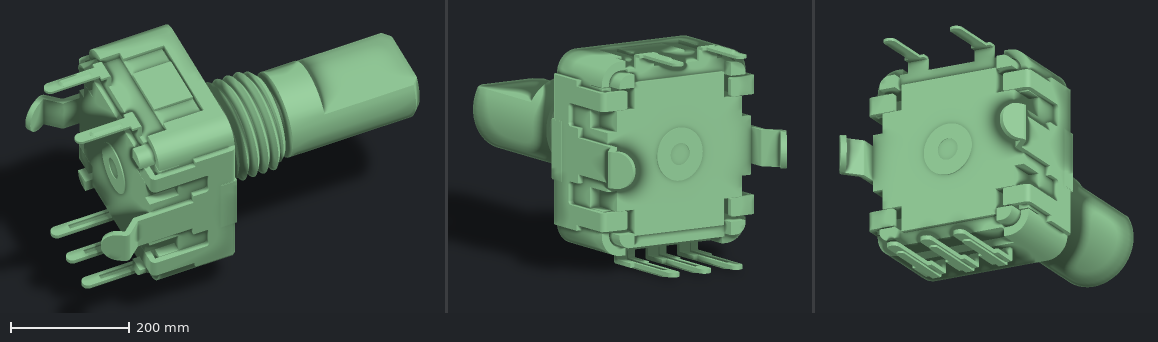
import cadquery as cq
import math


FULL_ROUND = 0.98

SHAFT_RADIUS = 76.2
SHAFT_START = 139.7
SHAFT_END = 381.0
SHAFT_CHAMFER = 12.7
FLAT_START = 203.2
FLAT_HEIGHT = 38.1
NECK_RADIUS = 45.72

BUSHING_LENGTH = 127.0
BUSHING_CHAMFER = 15.0
THREAD_RADIUS = 88.9
THREAD_ROOT_RADIUS = 76.2
THREAD_PITCH = 19.05
THREAD_PHASE = 12.2
THREAD_BASE_WIDTH = FULL_ROUND * THREAD_PITCH
THREAD_OVERLAP = 1.0

BODY_HALF_WIDTH = 144.78
BODY_HALF_HEIGHT = 167.64
BODY_DEPTH = 139.7
BODY_CORNER_RADIUS = 38.1

CARRIER_HALF_WIDTH = 97.3
CARRIER_HALF_HEIGHT = 154.2
CARRIER_START = 104.0
CARRIER_DEPTH = 148.0
COVER_DEPTH = 157.48
COVER_HALF_WIDTH = 89.9
COVER_HALF_HEIGHT = 132.1
POCKET_FLOOR = 103.4
POCKET_TOP = 126.0
POCKET_MIDDLE = 86.6
POCKET_BOTTOM = 50.8
EDGE_SLIT_BOTTOM = 124.0
SIDE_POCKET_X = 126.0
DISC_RADIUS = 45.72
DISC_DEPTH = 160.0
DIMPLE_RADIUS = 19.05
DIMPLE_DEPTH = 1.5

WINDOW_HALF_WIDTH = 81.7
WINDOW_START = 28.6
WINDOW_SLIT = 3.8
WINDOW_SIDE_DROP = 7.0
WINDOW_CENTRE_DROP = 1.5
WINDOW_CENTRE_HALF_WIDTH = 45.0

PEG_INNER_X = 97.3
PEG_OUTER_X = 127.0
PEG_INNER_Z = 126.0
PEG_OUTER_Z = 148.8
PEG_RADIUS = 19.0
PEG_CLEARANCE = 3.0
PEG_CLEARANCE_DEPTH = 10.0
PEG_END = 167.64

SHEET = 10.16
BRACKET_HALF_HEIGHT = BODY_HALF_HEIGHT - BODY_CORNER_RADIUS
BRACKET_SHOULDER = 76.8
FINGER_TOP = 119.4
FINGER_BOTTOM = 87.6
FINGER_REACH_X = 104.7
FINGER_TIP_RADIUS = 3.0
SLOT_START = 51.5
SLOT_BOTTOM = 47.6
SLOT_STEP = 80.7
SLOT_RADIUS = 6.0
PAD_HALF_HEIGHT = 52.5
PAD_DEPTH = 30.8
PAD_RIM = 1.6
PAD_STEP = 0.6

LEG_HALF_HEIGHT = 31.4
LEG_KNEE_DEPTH = 186.0
LEG_ELBOW_X = 173.91
LEG_ELBOW_DEPTH = 213.0
LEG_TIP_X = 151.0
LEG_TIP_DEPTH = 250.5
LEG_ELBOW_RADIUS = 10.16
LEG_KNEE_RADIUS = 5.0

PIN_SPACING = 63.5
PIN_WIDTH = 21.6
SHOULDER_WIDTH = 37.1
UPPER_SHEET = 5.0
UPPER_PIN_TOP = 178.8
UPPER_PIN_END = 259.08
UPPER_SHOULDER_END = 161.0
UPPER_RIB_START = 171.7
UPPER_RIB_END = 232.4
UPPER_RIB_WIDTH = 14.7
UPPER_RIB_HEIGHT = 4.06
LOWER_SHEET = 7.6
LOWER_TAB_DEPTH = 80.8
LOWER_PIN_BOTTOM = -192.0
LOWER_PIN_END = 246.4
LOWER_SHOULDER_END = 132.6
LOWER_RIB_END = 217.0
LOWER_RIB_WIDTH = 15.2
LOWER_RIB_HEIGHT = 3.6
LOWER_GROOVE_WIDTH = 9.2


def block(x_range, depth_range, z_range):
    """Box between two X values, two depths behind the mounting face and two Z values."""
    size = (x_range[1] - x_range[0], depth_range[1] - depth_range[0], z_range[1] - z_range[0])
    corner = (x_range[0], -depth_range[1], z_range[0])
    return cq.Workplane("XY").box(*size, centered=False).translate(corner)


def centred_block(half_width, depth_range, half_height):
    """Box centred on the shaft axis in X and Z."""
    return block((-half_width, half_width), depth_range, (-half_height, half_height))


def axial_cylinder(radius, y_start, y_end):
    """Cylinder on the shaft axis."""
    return cq.Workplane("XZ", origin=(0, y_start, 0)).circle(radius).extrude(y_start - y_end)


def mirrored_in_x(solid):
    return solid.union(solid.mirror("YZ"))


def mirrored_in_x_and_z(solid):
    right = solid.union(solid.mirror("XY"))
    return mirrored_in_x(right)


def make_shaft():
    shaft = axial_cylinder(SHAFT_RADIUS, SHAFT_START, SHAFT_END)
    shaft = shaft.faces(">Y").chamfer(SHAFT_CHAMFER)
    above_flat = block(
        (-SHAFT_RADIUS, SHAFT_RADIUS), (-SHAFT_END, -FLAT_START), (FLAT_HEIGHT, SHAFT_RADIUS)
    )
    neck = axial_cylinder(NECK_RADIUS, 0, SHAFT_START)
    return shaft.cut(above_flat).union(neck)


def make_bushing():
    """Core with a right-hand V thread, trimmed to a chamfered front end."""
    first_crest = THREAD_PHASE - 2 * THREAD_PITCH
    helix_height = BUSHING_LENGTH - first_crest + THREAD_PITCH
    base_radius = THREAD_ROOT_RADIUS - THREAD_OVERLAP
    helix = cq.Wire.makeHelix(THREAD_PITCH, helix_height, base_radius)
    ridge = (
        cq.Workplane("XZ")
        .moveTo(base_radius, -THREAD_BASE_WIDTH / 2)
        .lineTo(THREAD_RADIUS, 0)
        .lineTo(base_radius, THREAD_BASE_WIDTH / 2)
        .close()
        .sweep(cq.Workplane(obj=helix), isFrenet=True)
        .translate((0, 0, first_crest))
        .rotate((0, 0, 0), (1, 0, 0), -90)
    )
    envelope = axial_cylinder(THREAD_RADIUS + THREAD_OVERLAP, 0, BUSHING_LENGTH)
    envelope = envelope.faces(">Y").chamfer(BUSHING_CHAMFER + THREAD_OVERLAP)
    core = axial_cylinder(THREAD_ROOT_RADIUS, 0, BUSHING_LENGTH)
    return core.intersect(envelope).union(ridge.intersect(envelope))


def make_body():
    body = centred_block(BODY_HALF_WIDTH, (0, BODY_DEPTH), BODY_HALF_HEIGHT)
    body = body.edges("|Y").fillet(BODY_CORNER_RADIUS)
    opening = block(
        (-CARRIER_HALF_WIDTH, CARRIER_HALF_WIDTH),
        (CARRIER_START, BODY_DEPTH),
        (CARRIER_HALF_HEIGHT, BODY_HALF_HEIGHT),
    )
    return cut_window(body.cut(opening).cut(opening.mirror("XY")))


def cut_window(body):
    """Recess with a raised centre panel and a deeper slit along its front, in the +Z side."""
    slit_end = WINDOW_START + WINDOW_SLIT
    side_floor = BODY_HALF_HEIGHT - WINDOW_SIDE_DROP
    centre_floor = BODY_HALF_HEIGHT - WINDOW_CENTRE_DROP
    window_x = (-WINDOW_HALF_WIDTH, WINDOW_HALF_WIDTH)
    centre_x = (-WINDOW_CENTRE_HALF_WIDTH, WINDOW_CENTRE_HALF_WIDTH)
    slit = block(window_x, (WINDOW_START, slit_end), (CARRIER_HALF_HEIGHT, BODY_HALF_HEIGHT))
    recess = block(window_x, (slit_end, CARRIER_START), (side_floor, BODY_HALF_HEIGHT))
    centre_panel = block(centre_x, (slit_end, CARRIER_START), (side_floor, centre_floor))
    return body.cut(slit).cut(recess).union(centre_panel)


def add_insulator(body):
    """Terminal carrier and rear cover with its centre disc, notched at the corners."""
    carrier = centred_block(CARRIER_HALF_WIDTH, (CARRIER_START, CARRIER_DEPTH), CARRIER_HALF_HEIGHT)
    tall_cover = centred_block(COVER_HALF_WIDTH, (CARRIER_START, COVER_DEPTH), COVER_HALF_HEIGHT)
    wide_cover = centred_block(BODY_HALF_WIDTH, (CARRIER_START, COVER_DEPTH), POCKET_MIDDLE)
    corner_pocket = block(
        (COVER_HALF_WIDTH, SIDE_POCKET_X), (POCKET_FLOOR, COVER_DEPTH), (POCKET_MIDDLE, POCKET_TOP)
    )
    edge_slit = block(
        (SIDE_POCKET_X, BODY_HALF_WIDTH), (POCKET_FLOOR, BODY_DEPTH), (EDGE_SLIT_BOTTOM, POCKET_TOP)
    )
    side_pocket = block(
        (SIDE_POCKET_X, BODY_HALF_WIDTH), (POCKET_FLOOR, COVER_DEPTH), (POCKET_BOTTOM, POCKET_MIDDLE)
    )
    finger_seat = block(
        (SIDE_POCKET_X, BODY_HALF_WIDTH),
        (COVER_DEPTH - SHEET, COVER_DEPTH),
        (POCKET_MIDDLE, POCKET_TOP),
    )
    disc = axial_cylinder(DISC_RADIUS, -DISC_DEPTH, -BODY_DEPTH)
    dimple = axial_cylinder(DIMPLE_RADIUS, -DISC_DEPTH, -DISC_DEPTH + DIMPLE_DEPTH)
    filled = body.union(carrier).union(tall_cover).union(wide_cover)
    pockets = corner_pocket.union(side_pocket).union(finger_seat).union(edge_slit)
    filled = filled.cut(mirrored_in_x_and_z(pockets))
    return filled.union(disc).cut(dimple)


def add_pegs(body):
    """Corner pegs with a rounded outer corner, each standing in a small clearance recess."""

    def peg_shape(margin, depth_range):
        shape = block(
            (PEG_INNER_X, PEG_OUTER_X + margin), depth_range, (PEG_INNER_Z, PEG_OUTER_Z + margin)
        )
        return shape.edges("|Y and >X and >Z").fillet(PEG_RADIUS + margin)

    recess_floor = BODY_DEPTH - PEG_CLEARANCE_DEPTH
    recess = peg_shape(PEG_CLEARANCE, (recess_floor, BODY_DEPTH))
    peg = peg_shape(0, (recess_floor, PEG_END))
    return body.cut(mirrored_in_x_and_z(recess)).union(mirrored_in_x_and_z(peg))


def make_side_plate():
    """Flat +X side of the bracket, with its bent front edge, two fingers and slots.

    The middle is cut back to SLOT_STEP, where the spring leg takes over.
    """
    inner_x = BODY_HALF_WIDTH
    outer_x = BODY_HALF_WIDTH + SHEET
    sheet_range = (inner_x, outer_x)
    plate = block(sheet_range, (0, COVER_DEPTH), (-BRACKET_HALF_HEIGHT, BRACKET_HALF_HEIGHT))
    corner = block(sheet_range, (BRACKET_SHOULDER, COVER_DEPTH), (FINGER_TOP, BRACKET_HALF_HEIGHT))
    slot = block(sheet_range, (SLOT_START, COVER_DEPTH), (SLOT_BOTTOM, FINGER_BOTTOM))
    slot = slot.edges("|X and >Y").fillet(SLOT_RADIUS)
    middle = block(sheet_range, (SLOT_STEP, COVER_DEPTH), (0, FINGER_BOTTOM))
    finger = block(
        (FINGER_REACH_X, outer_x), (COVER_DEPTH - SHEET, COVER_DEPTH), (FINGER_BOTTOM, FINGER_TOP)
    )
    finger = finger.edges("|Y and <X").fillet(FINGER_TIP_RADIUS)
    for cutout in (corner, slot, middle):
        plate = plate.cut(cutout).cut(cutout.mirror("XY"))
    plate = plate.union(finger).union(finger.mirror("XY"))
    bend_radius = FULL_ROUND * SHEET
    plate = plate.edges("|Z and >X and >Y").fillet(bend_radius)
    return plate.edges("|Z and >X and <Y").fillet(bend_radius)


def make_pad():
    """Square-cornered pad on the front edge of the +X side plate, with a stepped rim."""
    inner_x = BODY_HALF_WIDTH
    outer_x = BODY_HALF_WIDTH + SHEET
    rim = block((inner_x, outer_x + PAD_STEP / 2), (0, PAD_DEPTH), (-PAD_HALF_HEIGHT, PAD_HALF_HEIGHT))
    face_half_height = PAD_HALF_HEIGHT - PAD_RIM
    face = block(
        (inner_x, outer_x + PAD_STEP),
        (0, PAD_DEPTH - PAD_RIM),
        (-face_half_height, face_half_height),
    )
    return rim.union(face)


def sheet_outline(midline, thickness):
    """Mitred outline of a bent sheet that follows the given midline points."""
    sides = ([], [])
    last = len(midline) - 1
    for index, (x, y) in enumerate(midline):
        before = midline[max(index - 1, 0)]
        after = midline[min(index + 1, last)]
        angles = []
        if index > 0:
            angles.append(math.atan2(y - before[1], x - before[0]))
        if index < last:
            angles.append(math.atan2(after[1] - y, after[0] - x))
        heading = sum(angles) / len(angles)
        half_turn = (angles[-1] - angles[0]) / 2
        reach = thickness / 2 / math.cos(half_turn)
        offset = (-math.sin(heading) * reach, math.cos(heading) * reach)
        sides[0].append((x + offset[0], y + offset[1]))
        sides[1].append((x - offset[0], y - offset[1]))
    return sides[0] + sides[1][::-1]


def make_spring_leg():
    """Leg on the +X side: straight, kinked outwards, then back in to a round tip."""
    middle_x = BODY_HALF_WIDTH + SHEET / 2
    midline = [
        (middle_x, -SLOT_STEP),
        (middle_x, -LEG_KNEE_DEPTH),
        (LEG_ELBOW_X, -LEG_ELBOW_DEPTH),
        (LEG_TIP_X, -LEG_TIP_DEPTH),
    ]
    leg = (
        cq.Workplane("XY", origin=(0, 0, -LEG_HALF_HEIGHT))
        .polyline(sheet_outline(midline, SHEET))
        .close()
        .extrude(2 * LEG_HALF_HEIGHT)
    )
    knee_low = (BODY_HALF_WIDTH - SHEET, -LEG_KNEE_DEPTH - SHEET, -LEG_HALF_HEIGHT)
    knee_high = (BODY_HALF_WIDTH + 2 * SHEET, -LEG_KNEE_DEPTH + SHEET, LEG_HALF_HEIGHT)
    leg = leg.edges(cq.selectors.BoxSelector(knee_low, knee_high)).edges("|Z").fillet(LEG_KNEE_RADIUS)
    leg = leg.edges("|Z and >X").fillet(LEG_ELBOW_RADIUS)
    for side in (-1, 1):
        low = (LEG_TIP_X - SHEET, -LEG_TIP_DEPTH - SHEET, side * LEG_HALF_HEIGHT - SHEET)
        high = (LEG_TIP_X + SHEET, -LEG_TIP_DEPTH + SHEET, side * LEG_HALF_HEIGHT + SHEET)
        tip_edge = cq.selectors.BoxSelector(low, high)
        leg = leg.edges(tip_edge).edges("not |Z").edges("<Y").fillet(FULL_ROUND * LEG_HALF_HEIGHT)
    return leg


def round_ended_pin(x, depth_range, z_range):
    pin = block((x - PIN_WIDTH / 2, x + PIN_WIDTH / 2), depth_range, z_range)
    return pin.edges("|Z and <Y").fillet(FULL_ROUND * PIN_WIDTH / 2)


def make_upper_terminal(x):
    """L-shaped terminal on the +Z side with a tapered rib on its pin."""
    shoulder_x = (x - SHOULDER_WIDTH / 2, x + SHOULDER_WIDTH / 2)
    tab_start = CARRIER_DEPTH - UPPER_SHEET
    pin_z = (UPPER_PIN_TOP - UPPER_SHEET, UPPER_PIN_TOP)
    tab = block(shoulder_x, (tab_start, CARRIER_DEPTH), (POCKET_TOP, UPPER_PIN_TOP))
    shoulder = block(shoulder_x, (tab_start, UPPER_SHOULDER_END), pin_z)
    bend = tab.union(shoulder).edges("|X and >Y and >Z").fillet(FULL_ROUND * UPPER_SHEET)
    rib = (
        cq.Workplane("XY", origin=(x, -(UPPER_RIB_START + UPPER_RIB_END) / 2, UPPER_PIN_TOP))
        .slot2D(UPPER_RIB_END - UPPER_RIB_START, UPPER_RIB_WIDTH, 90)
        .extrude(UPPER_RIB_HEIGHT)
        .faces(">Z")
        .chamfer(FULL_ROUND * UPPER_RIB_HEIGHT)
    )
    return bend.union(round_ended_pin(x, (tab_start + UPPER_SHEET, UPPER_PIN_END), pin_z)).union(rib)


def make_lower_terminal(x):
    """L-shaped terminal on the -Z side with a pressed rib along its tab and pin."""
    shoulder_x = (x - SHOULDER_WIDTH / 2, x + SHOULDER_WIDTH / 2)
    rib_x = (x - LOWER_RIB_WIDTH / 2, x + LOWER_RIB_WIDTH / 2)
    groove_x = (x - LOWER_GROOVE_WIDTH / 2, x + LOWER_GROOVE_WIDTH / 2)
    tab_end = LOWER_TAB_DEPTH + LOWER_SHEET
    pin_top = LOWER_PIN_BOTTOM + LOWER_SHEET
    pin_z = (LOWER_PIN_BOTTOM, pin_top)
    body_bottom = -BODY_HALF_HEIGHT
    rib_front = LOWER_TAB_DEPTH - LOWER_RIB_HEIGHT
    rib_bottom = LOWER_PIN_BOTTOM - LOWER_RIB_HEIGHT

    tab = block(shoulder_x, (LOWER_TAB_DEPTH, tab_end), (LOWER_PIN_BOTTOM, body_bottom))
    shoulder = block(shoulder_x, (LOWER_TAB_DEPTH, LOWER_SHOULDER_END), pin_z)
    terminal = tab.union(shoulder).edges("|X and >Y and <Z").fillet(LOWER_SHEET / 2)
    terminal = terminal.union(round_ended_pin(x, (tab_end, LOWER_PIN_END), pin_z))

    rib = block(rib_x, (rib_front, LOWER_RIB_END), (rib_bottom, body_bottom))
    rib = rib.edges("|X and >Y and <Z").fillet(LOWER_SHEET / 2)
    rib = rib.edges("|Z and <Y").fillet(FULL_ROUND * LOWER_RIB_WIDTH / 2)
    rib_hollow = block(rib_x, (tab_end, LOWER_RIB_END), (pin_top, body_bottom))
    groove = block(
        groove_x,
        (tab_end - LOWER_RIB_HEIGHT, LOWER_RIB_END - LOWER_RIB_HEIGHT),
        (pin_top - LOWER_RIB_HEIGHT, body_bottom),
    )
    return terminal.union(rib.cut(rib_hollow)).cut(groove)


def make_part():
    part = add_pegs(add_insulator(make_body()))
    bracket_side = make_side_plate().union(make_pad()).union(make_spring_leg())
    part = part.union(mirrored_in_x(bracket_side))
    for x in (-PIN_SPACING, PIN_SPACING):
        part = part.union(make_upper_terminal(x))
    for x in (-PIN_SPACING, 0, PIN_SPACING):
        part = part.union(make_lower_terminal(x))
    return part.union(make_bushing()).union(make_shaft())


result = make_part()